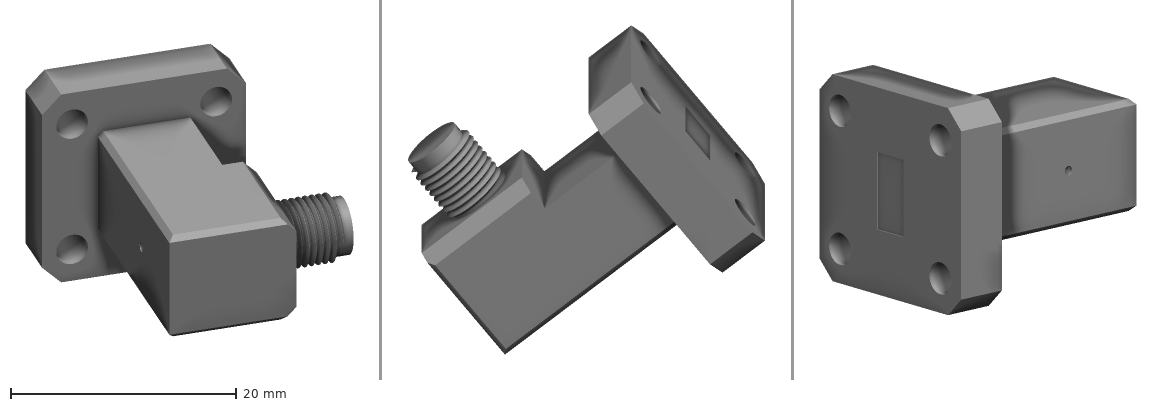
import cadquery as cq
import math


flange_size = 19.05
flange_thickness = 4.826
flange_corner_chamfer = 1.78
bolt_hole_diameter = 2.95
bolt_spacing_y = 13.46
bolt_spacing_z = 12.7

body_end_x = 25.4
body_half_width = 4.32
body_height = 10.31
body_edge_chamfer = 0.5
head_start_x = 14.02
head_face_y = 7.54
head_edge_chamfer = 1.3

window_width = 3.556
window_height = 7.112
window_recess = 0.127

connector_x = 19.05
connector_tip_y = 14.095
barrel_diameter = 5.33
thread_diameter = 6.3
thread_pitch = 0.635
thread_crest_width = 0.02
thread_root_width = 0.6
thread_root_overlap = 0.03
thread_end_y = 12.98
thread_turns = 9

screw_x = 17.31
screw_diameter = 1.3
screw_length = 2.0
socket_diameter = 0.86
socket_bore_depth = 0.25
socket_cone_angle = 118.0


def make_flange():
    plate = (
        cq.Workplane("YZ")
        .rect(flange_size, flange_size)
        .extrude(flange_thickness)
        .edges("|X")
        .chamfer(flange_corner_chamfer)
    )
    return (
        plate.faces("<X")
        .workplane(origin=(0, 0, 0))
        .rect(bolt_spacing_y, bolt_spacing_z, forConstruction=True)
        .vertices()
        .hole(bolt_hole_diameter)
    )


def make_body():
    outline = (
        cq.Workplane("XY", origin=(0, 0, -body_height / 2))
        .moveTo(flange_thickness, -body_half_width)
        .lineTo(body_end_x, -body_half_width)
        .lineTo(body_end_x, head_face_y)
        .lineTo(head_start_x, head_face_y)
        .lineTo(head_start_x, body_half_width)
        .lineTo(flange_thickness, body_half_width)
        .close()
    )
    body = outline.extrude(body_height)
    return body.cut(body_edge_cutters())


def chamfer_prism(plane, offset, edge, size, length):
    """Triangular bars that cut a chamfer along the upper and the lower edge of one body face.

    The sign of size tells which way the face looks: positive cuts back from a face on the + side.
    """
    bars = cq.Workplane(plane, origin=offset)
    for side in (1, -1):
        corner = side * body_height / 2
        bars = bars.moveTo(edge - size, corner).lineTo(edge, corner)
        bars = bars.lineTo(edge, corner - side * abs(size)).close()
    return bars.extrude(length)


def body_edge_cutters():
    side_cut = chamfer_prism("YZ", (flange_thickness, 0, 0), -body_half_width, -body_edge_chamfer,
                             body_end_x - flange_thickness)
    head_cut = chamfer_prism("YZ", (head_start_x, 0, 0), head_face_y, head_edge_chamfer,
                             body_end_x - head_start_x)
    end_cut = chamfer_prism("XZ", (0, head_face_y, 0), body_end_x, body_edge_chamfer,
                            head_face_y + body_half_width)
    return side_cut.union(head_cut).union(end_cut)


def make_housing():
    housing = make_flange().union(make_body())
    window_pocket = cq.Workplane("YZ").rect(window_width, window_height).extrude(flange_thickness)
    screw_hole = (
        cq.Workplane("XZ", origin=(screw_x, -body_half_width, 0))
        .circle(screw_diameter / 2)
        .extrude(-screw_length)
    )
    return housing.cut(window_pocket).cut(screw_hole)


def make_window():
    return (
        cq.Workplane("YZ", origin=(window_recess, 0, 0))
        .rect(window_width, window_height)
        .extrude(flange_thickness - window_recess)
    )


def make_thread():
    """Right-hand V ridge built along +Z, its start and end crests on +X."""
    root_radius = barrel_diameter / 2 - thread_root_overlap
    crest_radius = thread_diameter / 2
    helix = cq.Wire.makeHelix(thread_pitch, thread_pitch * thread_turns, root_radius)
    ridge = (
        cq.Workplane("XZ")
        .moveTo(root_radius, -thread_root_width / 2)
        .lineTo(crest_radius, -thread_crest_width / 2)
        .lineTo(crest_radius, thread_crest_width / 2)
        .lineTo(root_radius, thread_root_width / 2)
        .close()
    )
    return ridge.sweep(cq.Workplane(helix), isFrenet=True)


def make_connector():
    """Threaded barrel standing on the head face."""
    thread_start_y = thread_end_y - thread_pitch * thread_turns
    thread = make_thread().rotate((0, 0, 0), (1, 0, 0), -90).translate((connector_x, thread_start_y, 0))
    barrel = (
        cq.Workplane("XZ", origin=(connector_x, head_face_y, 0))
        .circle(barrel_diameter / 2)
        .extrude(head_face_y - connector_tip_y)
    )
    below_face = (
        cq.Workplane("XZ", origin=(connector_x, head_face_y, 0))
        .circle(thread_diameter)
        .extrude(head_face_y)
    )
    return barrel.union(thread).cut(below_face)


def make_screw():
    """Flush screw with a drilled socket that ends in a cone."""
    radius = screw_diameter / 2
    bore_radius = socket_diameter / 2
    cone_depth = bore_radius / math.tan(math.radians(socket_cone_angle / 2))
    half_section = (
        cq.Workplane("XY", origin=(screw_x, -body_half_width, 0))
        .moveTo(bore_radius, 0)
        .lineTo(radius, 0)
        .lineTo(radius, screw_length)
        .lineTo(0, screw_length)
        .lineTo(0, socket_bore_depth + cone_depth)
        .lineTo(bore_radius, socket_bore_depth)
        .close()
    )
    return half_section.revolve(360, (0, 0, 0), (0, 1, 0))


housing = make_housing()
window = make_window()
connector = make_connector()
screw = make_screw()

bodies = [housing, window, connector, screw]
result = cq.Compound.makeCompound([body.solids().val() for body in bodies])